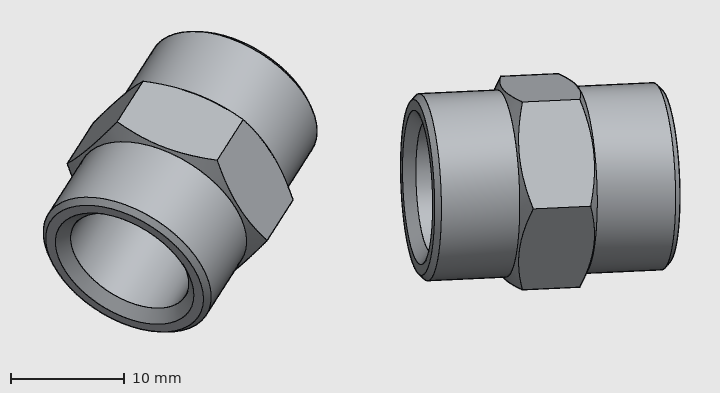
import cadquery as cq
import math

length = 22.0
body_diameter = 16.5
end_chamfer = 0.5
bore_diameter = 11.6
countersink_diameter = 13.6
countersink_angle = 45.0
hex_across_flats = 17.0
hex_width = 6.95
hex_bevel_angle = 30.0

body_radius = body_diameter / 2
hex_corner_radius = hex_across_flats / math.sqrt(3)


def revolve_about_axis(points):
    """Revolve a closed (radius, axial position) profile about Y."""
    return cq.Workplane("XY").polyline(points).close().revolve(360, (0, 0), (0, 1))


def make_body():
    """Cylindrical body with chamfered outer ends."""
    body = cq.Workplane("XZ").circle(body_radius).extrude(length / 2, both=True)
    return body.faces("<Y or >Y").chamfer(end_chamfer)


def make_hex():
    """Hexagonal wrench section with its corners bevelled by a cone at each end."""
    prism = cq.Workplane("XZ").polygon(6, 2 * hex_corner_radius).extrude(hex_width / 2, both=True)
    end = hex_width / 2
    bevel_depth = (hex_corner_radius - body_radius) * math.tan(math.radians(hex_bevel_angle))
    shoulder = end - bevel_depth
    bevel_envelope = revolve_about_axis([
        (0, -end),
        (body_radius, -end),
        (hex_corner_radius, -shoulder),
        (hex_corner_radius, shoulder),
        (body_radius, end),
        (0, end),
    ])
    return prism.intersect(bevel_envelope)


def make_bore():
    """Through bore with a conical countersink at each end."""
    bore_radius = bore_diameter / 2
    mouth_radius = countersink_diameter / 2
    end = length / 2
    countersink_depth = (mouth_radius - bore_radius) / math.tan(math.radians(countersink_angle))
    seat = end - countersink_depth
    return revolve_about_axis([
        (0, -end),
        (mouth_radius, -end),
        (bore_radius, -seat),
        (bore_radius, seat),
        (mouth_radius, end),
        (0, end),
    ])


result = make_body().union(make_hex()).cut(make_bore())